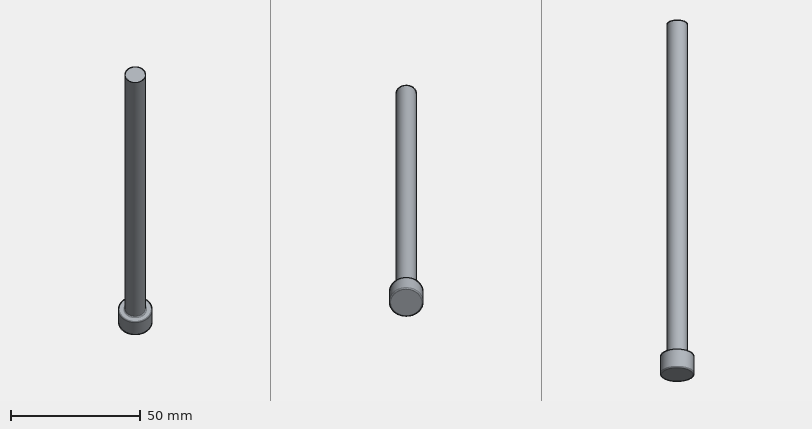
import cadquery as cq

total_length = 150.0
shank_radius = 8.0 / 2
head_radius = 13.0 / 2
head_height = 8.0
head_bottom_fillet = 0.5
head_top_fillet = 0.3
neck_fillet = 0.38

head = (
    cq.Workplane("XY")
    .circle(head_radius)
    .extrude(head_height)
    .faces("<Z")
    .edges()
    .fillet(head_bottom_fillet)
    .faces(">Z")
    .edges()
    .fillet(head_top_fillet)
)

shank = (
    cq.Workplane("XY")
    .workplane(offset=head_height)
    .circle(shank_radius)
    .extrude(total_length - head_height)
)

neck_arc_offset = neck_fillet * (1 - 0.5**0.5)
neck = (
    cq.Workplane("XZ")
    .moveTo(0, head_height)
    .lineTo(shank_radius + neck_fillet, head_height)
    .threePointArc(
        (shank_radius + neck_arc_offset, head_height + neck_arc_offset),
        (shank_radius, head_height + neck_fillet),
    )
    .lineTo(0, head_height + neck_fillet)
    .close()
    .revolve(360, (0, 0), (0, 1))
)

result = head.union(shank).union(neck)